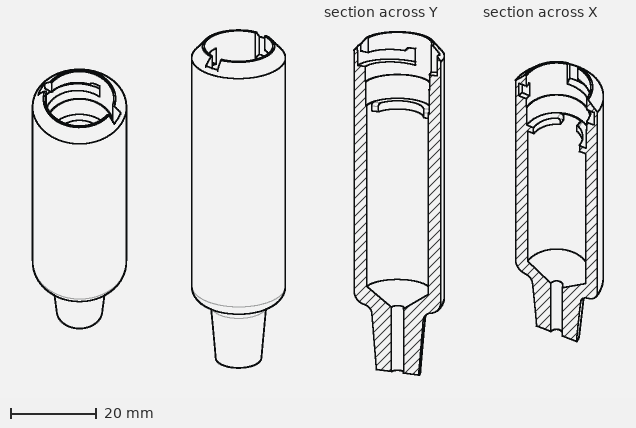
import cadquery as cq
import math

length = 81.4
body_radius = 11.0

tip_radius = 5.4
neck_radius = 6.5
neck_height = 13.6
neck_blend = 2.1
shoulder_blend = 3.2

rim_radius = 8.5
rim_chamfer_height = 3.0

bore_radius = 16.0 / 2
bore_depth = 10.4
lower_bore_radius = 7.9
chamber_radius = 15.4 / 2
funnel_top = 20.35
funnel_angle = 35.0
outlet_radius = 3.0 / 2

ledge_depth = 16.3
ledge_radius = 6.1
ledge_thickness = 2.0
ledge_slot_width = 4.4
ledge_slot_round = 0.7

groove_radius = 10.0
groove_height = 3.1
groove_start_depth = 6.5
groove_pitch = 4.0
pin_width = 2.6
entry_lead_angle = 11
seat_angle = 90
seat_depth = 3.7
seat_corner_round = 1.3

half_pin_angle = math.degrees(math.asin(pin_width / 2 / bore_radius))


def cylinder(radius):
    return cq.Workplane("XY").circle(radius).extrude(length)


def arc_point(centre, radius, angle):
    return (centre[0] + radius * math.cos(angle), centre[1] + radius * math.sin(angle))


def make_body():
    """Solid of revolution for the outer shape; the two shoulder arcs meet tangentially."""
    blend_sum = neck_blend + shoulder_blend
    neck_x = neck_radius + neck_blend
    shoulder_x = body_radius - shoulder_blend
    rise = math.sqrt(blend_sum**2 - (neck_x - shoulder_x) ** 2)
    neck_centre = (neck_x, neck_height)
    shoulder_centre = (shoulder_x, neck_height + rise)
    meeting_angle = math.atan2(rise, shoulder_x - neck_x)
    neck_middle = arc_point(neck_centre, neck_blend, (math.pi + meeting_angle) / 2)
    meeting_point = arc_point(neck_centre, neck_blend, meeting_angle)
    shoulder_middle = arc_point(shoulder_centre, shoulder_blend, (meeting_angle - math.pi) / 2)
    return (
        cq.Workplane("XZ")
        .lineTo(tip_radius, 0)
        .lineTo(neck_radius, neck_height)
        .threePointArc(neck_middle, meeting_point)
        .threePointArc(shoulder_middle, (body_radius, neck_height + rise))
        .lineTo(body_radius, length - rim_chamfer_height)
        .lineTo(rim_radius, length)
        .lineTo(0, length)
        .close()
        .revolve(360, (0, 0, 0), (0, 1, 0))
    )


def make_cavity():
    """Stepped bore, chamber, funnel and outlet as one revolved cutter."""
    funnel_drop = (chamber_radius - outlet_radius) * math.tan(math.radians(funnel_angle))
    return (
        cq.Workplane("XZ")
        .lineTo(outlet_radius, 0)
        .lineTo(outlet_radius, funnel_top - funnel_drop)
        .lineTo(chamber_radius, funnel_top)
        .lineTo(chamber_radius, length - ledge_depth)
        .lineTo(lower_bore_radius, length - ledge_depth)
        .lineTo(lower_bore_radius, length - bore_depth)
        .lineTo(bore_radius, length - bore_depth)
        .lineTo(bore_radius, length)
        .lineTo(0, length)
        .close()
        .revolve(360, (0, 0, 0), (0, 1, 0))
    )


def make_ledge():
    """Ring with a central hole and a channel along X whose upper edges are rounded."""
    embedded_radius = (chamber_radius + body_radius) / 2
    channel = cq.Workplane("XY").box(
        2 * body_radius, ledge_slot_width, ledge_thickness, centered=(True, True, False)
    )
    ring = (
        cq.Workplane("XY")
        .circle(embedded_radius)
        .circle(ledge_radius)
        .extrude(ledge_thickness)
        .cut(channel)
        .edges("|X and >Z")
        .fillet(ledge_slot_round)
    )
    return ring.translate((0, 0, length - ledge_depth - ledge_thickness))


def make_groove():
    """Bayonet groove: entry from the rim at +X, ramp turning down towards -Y, raised seat at -Y."""
    entry_floor = length - groove_start_depth
    entry = (
        cq.Workplane("XY", origin=(0, 0, entry_floor))
        .polyline(
            [
                (0, 0),
                (body_radius, -body_radius * math.tan(math.radians(half_pin_angle))),
                (body_radius, body_radius * math.tan(math.radians(entry_lead_angle))),
            ]
        )
        .close()
        .extrude(groove_start_depth)
    )

    ramp_sweep = entry_lead_angle + seat_angle + 2 * half_pin_angle
    ramp_drop = groove_pitch * ramp_sweep / 360
    ramp_inner = bore_radius / 2
    helix = cq.Wire.makeHelix(groove_pitch, ramp_drop, bore_radius)
    ramp = (
        cq.Workplane("XZ")
        .moveTo(ramp_inner, 0)
        .rect(body_radius - ramp_inner, groove_height, centered=False)
        .sweep(cq.Workplane(helix), isFrenet=True)
        .rotate((0, 0, 0), (1, 0, 0), 180)
        .rotate((0, 0, 0), (0, 0, 1), entry_lead_angle)
        .translate((0, 0, entry_floor + groove_height))
    )

    seat_height = groove_start_depth - seat_depth
    seat = (
        cq.Workplane("XZ", origin=(0, 0, entry_floor))
        .rect(pin_width, seat_height, centered=(True, False))
        .extrude(body_radius)
        .edges("|Y and >X and >Z")
        .fillet(seat_corner_round)
    )

    past_end_wall = (
        cq.Workplane("XY", origin=(-pin_width / 2, 0, 0))
        .rect(-body_radius, -2 * body_radius, centered=False)
        .extrude(length)
    )
    groove = entry.union(ramp).union(seat)
    return groove.intersect(cylinder(groove_radius)).cut(past_end_wall)


result = make_body().cut(make_cavity()).union(make_ledge())
groove = make_groove()
for turn in (0, 180):
    result = result.cut(groove.rotate((0, 0, 0), (0, 0, 1), turn))